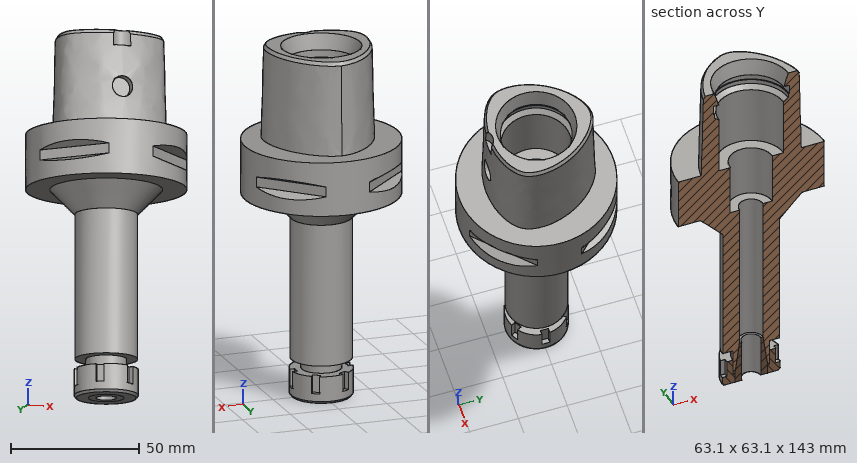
import cadquery as cq
import math

TOTAL_HEIGHT = 143
NUT_HEIGHT = 11.2
NUT_FLOOR = 4.1
SHANK_BOTTOM = 15.5
CONE_BOTTOM = 73.2
FLANGE_BOTTOM = 83.1
FLANGE_TOP = 105.0

FLANGE_RADIUS = 31.53
CONE_RADIUS = 22.0
SHANK_RADIUS = 12.3
NOSE_RADIUS = 8.0

LOBE_BASE_RADIUS = 22.2
LOBE_TAPER = 1 / 20
LOBE_ECCENTRICITY = 1.6
LOBE_HALF_STEPS = 24
RIM_HEIGHT = 1.5
RIM_WIDTH = 0.9

MOUTH_RADIUS = 15.9
LIP_RADIUS = 14.0
LIP_DEPTH = 6.3
GROOVE_RADIUS = 16.3
GROOVE_DEPTH = 10.0
LEDGE_RADIUS = 15.9
LEDGE_DEPTH = 11.9
LEDGE_CONE_DEPTH = 13.5
MAIN_BORE_RADIUS = 13.9
SCREW_BORE_RADIUS = 9.0
COOLANT_RADIUS = 5.0

GRIP_SLOT_COUNT = 4
GRIP_FLAT_DISTANCE = 27.7
GRIP_FLAT_HEIGHT = 4.0
GRIP_MOUTH_HEIGHT = 7.7
GRIP_HEIGHT_ABOVE_FLANGE_BOTTOM = 10.0

NOTCH_RADIUS = 4.3
NOTCH_CENTER_Y = -22.0
NOTCH_DEPTH = 6.1
INDEX_HOLE_RADIUS = 4.1
INDEX_HOLE_DEPTH_FROM_TOP = 22.6
INDEX_HOLE_FLOOR_Y = -16.5

NUT_RADIUS = 12.6
NUT_CHAMFER_HEIGHT = 1.0
NUT_CHAMFER_WIDTH = 0.9
NUT_SLOT_COUNT = 6
NUT_SLOT_WIDTH = 3.1
NUT_SLOT_FLOOR_RADIUS = 10.6
NUT_SLOT_BOTTOM = 4.1

COLLET_RADIUS = 7.0
COLLET_BORE_RADIUS = 4.0
COLLET_TAPER_DEGREES = 8
COLLET_TOP = NUT_FLOOR + (COLLET_RADIUS - COOLANT_RADIUS) / math.tan(math.radians(COLLET_TAPER_DEGREES))


def revolve_profile(points):
    """Turn a closed (radius, height) profile about the Z axis, starting on the -Y side."""
    start_plane = cq.Plane((0, 0, 0), xDir=(0, -1, 0), normal=(-1, 0, 0))
    return cq.Workplane(start_plane).polyline(points).close().revolve(360, (0, 0), (0, 1))


def lobed_edges(mean_radius, height):
    """Three-lobed constant-width outline with a lobe to +Y, as its right and left halves."""

    def point(degrees):
        angle = math.radians(degrees)
        lobe_angle = 3 * math.radians(degrees - 90)
        support = mean_radius + LOBE_ECCENTRICITY * math.cos(lobe_angle)
        slope = -3 * LOBE_ECCENTRICITY * math.sin(lobe_angle)
        return cq.Vector(
            support * math.cos(angle) - slope * math.sin(angle),
            support * math.sin(angle) + slope * math.cos(angle),
            height,
        )

    step = 180 / LOBE_HALF_STEPS
    points = [point(-90 + index * step) for index in range(LOBE_HALF_STEPS + 1)]
    right = cq.Edge.makeSpline(points, tangents=[cq.Vector(1, 0, 0), cq.Vector(-1, 0, 0)])
    return [right, right.mirror("YZ")]


def make_lobed_shank():
    """Taper and rim, with straight walls ruled from one outline up to the next."""
    rim_bottom = TOTAL_HEIGHT - RIM_HEIGHT
    rim_radius = LOBE_BASE_RADIUS - (rim_bottom - FLANGE_TOP) * LOBE_TAPER / 2
    base = lobed_edges(LOBE_BASE_RADIUS, FLANGE_TOP)
    middle = lobed_edges(rim_radius, rim_bottom)
    top = lobed_edges(rim_radius - RIM_WIDTH, TOTAL_HEIGHT)
    faces = [cq.Face.makeFromWires(cq.Wire.assembleEdges(edges)) for edges in (base, top)]
    for lower, upper in ((base, middle), (middle, top)):
        faces += [cq.Face.makeRuledSurface(low, high) for low, high in zip(lower, upper)]
    solid = cq.Solid.makeSolid(cq.Shell.makeShell(faces))
    return cq.Workplane(solid.fix())


def make_stepped_bore():
    return revolve_profile(
        [
            (0, TOTAL_HEIGHT),
            (MOUTH_RADIUS, TOTAL_HEIGHT),
            (LIP_RADIUS, TOTAL_HEIGHT - LIP_DEPTH),
            (GROOVE_RADIUS, TOTAL_HEIGHT - LIP_DEPTH),
            (GROOVE_RADIUS, TOTAL_HEIGHT - GROOVE_DEPTH),
            (LEDGE_RADIUS, TOTAL_HEIGHT - GROOVE_DEPTH),
            (LEDGE_RADIUS, TOTAL_HEIGHT - LEDGE_DEPTH),
            (MAIN_BORE_RADIUS, TOTAL_HEIGHT - LEDGE_CONE_DEPTH),
            (MAIN_BORE_RADIUS, FLANGE_TOP),
            (SCREW_BORE_RADIUS, FLANGE_TOP),
            (SCREW_BORE_RADIUS, FLANGE_BOTTOM),
            (COOLANT_RADIUS, FLANGE_BOTTOM),
            (COOLANT_RADIUS, COLLET_TOP),
            (COLLET_RADIUS, NUT_FLOOR),
            (0, NUT_FLOOR),
        ]
    )


def make_grip_slot():
    """Trapezoidal groove across the +X side of the flange."""
    middle = FLANGE_BOTTOM + GRIP_HEIGHT_ABOVE_FLANGE_BOTTOM
    profile = [
        (GRIP_FLAT_DISTANCE, middle - GRIP_FLAT_HEIGHT / 2),
        (FLANGE_RADIUS, middle - GRIP_MOUTH_HEIGHT / 2),
        (FLANGE_RADIUS, middle + GRIP_MOUTH_HEIGHT / 2),
        (GRIP_FLAT_DISTANCE, middle + GRIP_FLAT_HEIGHT / 2),
    ]
    return cq.Workplane("XZ").polyline(profile).close().extrude(FLANGE_RADIUS, both=True)


def make_key_notch():
    return (
        cq.Workplane("XY", origin=(0, NOTCH_CENTER_Y, TOTAL_HEIGHT))
        .circle(NOTCH_RADIUS)
        .extrude(-NOTCH_DEPTH)
    )


def make_index_hole():
    return (
        cq.Workplane("XZ", origin=(0, INDEX_HOLE_FLOOR_Y, TOTAL_HEIGHT - INDEX_HOLE_DEPTH_FROM_TOP))
        .circle(INDEX_HOLE_RADIUS)
        .extrude(FLANGE_RADIUS)
    )


def make_holder():
    body = revolve_profile(
        [
            (0, NUT_FLOOR),
            (NOSE_RADIUS, NUT_FLOOR),
            (NOSE_RADIUS, SHANK_BOTTOM),
            (SHANK_RADIUS, SHANK_BOTTOM),
            (SHANK_RADIUS, CONE_BOTTOM),
            (CONE_RADIUS, FLANGE_BOTTOM),
            (FLANGE_RADIUS, FLANGE_BOTTOM),
            (FLANGE_RADIUS, FLANGE_TOP),
            (0, FLANGE_TOP),
        ]
    )
    body = body.union(make_lobed_shank()).cut(make_stepped_bore())
    for index in range(GRIP_SLOT_COUNT):
        angle = (index + 0.5) * 360 / GRIP_SLOT_COUNT
        body = body.cut(make_grip_slot().rotate((0, 0, 0), (0, 0, 1), angle))
    return body.cut(make_key_notch()).cut(make_index_hole())


def make_nut():
    """Ring around the nose, with a floor that has an opening for the collet."""
    nut = revolve_profile(
        [
            (COLLET_RADIUS, 0),
            (NUT_RADIUS - NUT_CHAMFER_WIDTH, 0),
            (NUT_RADIUS, NUT_CHAMFER_HEIGHT),
            (NUT_RADIUS, NUT_HEIGHT),
            (NOSE_RADIUS, NUT_HEIGHT),
            (NOSE_RADIUS, NUT_FLOOR),
            (COLLET_RADIUS, NUT_FLOOR),
        ]
    )
    slot = cq.Workplane("XY").box(
        NUT_RADIUS, NUT_SLOT_WIDTH, NUT_HEIGHT, centered=(False, True, False)
    ).translate((NUT_SLOT_FLOOR_RADIUS, 0, NUT_SLOT_BOTTOM))
    for index in range(NUT_SLOT_COUNT):
        nut = nut.cut(slot.rotate((0, 0, 0), (0, 0, 1), index * 360 / NUT_SLOT_COUNT))
    return nut


def make_collet():
    """Sleeve with a cylindrical front and a tapered back seated in the holder."""
    return revolve_profile(
        [
            (COLLET_BORE_RADIUS, 0),
            (COLLET_RADIUS, 0),
            (COLLET_RADIUS, NUT_FLOOR),
            (COOLANT_RADIUS, COLLET_TOP),
            (COLLET_BORE_RADIUS, COLLET_TOP),
        ]
    )


holder = make_holder()
nut = make_nut()
collet = make_collet()

result = cq.Compound.makeCompound([holder.val(), nut.val(), collet.val()])